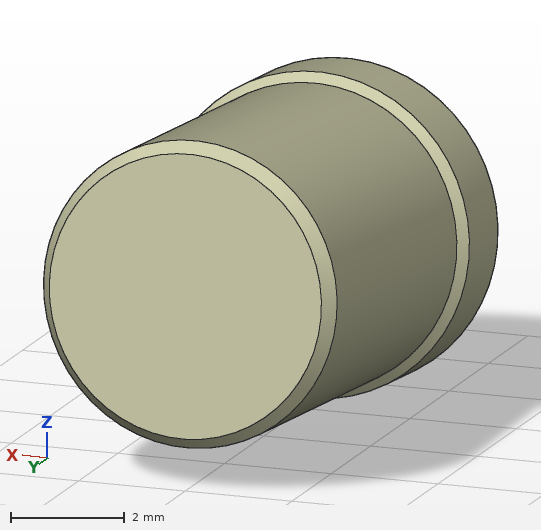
import cadquery as cq

head_diameter = 5.85
shank_diameter = 5.5
total_length = 8.0
head_length = 1.46
tip_chamfer_length = 0.25
tip_chamfer_depth = 0.2
tilt_angle = 4.5

head_radius = head_diameter / 2
shank_radius = shank_diameter / 2
shoulder_end = head_length + head_radius - shank_radius
tip_chamfer_start = total_length - tip_chamfer_length
tip_radius = shank_radius - tip_chamfer_depth

half_section = (
    cq.Workplane("XY")
    .moveTo(0, 0)
    .lineTo(head_radius, 0)
    .lineTo(head_radius, head_length)
    .lineTo(shank_radius, shoulder_end)
    .lineTo(shank_radius, tip_chamfer_start)
    .lineTo(tip_radius, total_length)
    .lineTo(0, total_length)
    .close()
)

pin = half_section.revolve(360, (0, 0, 0), (0, 1, 0))
result = pin.rotate((0, 0, 0), (1, 0, 0), tilt_angle)